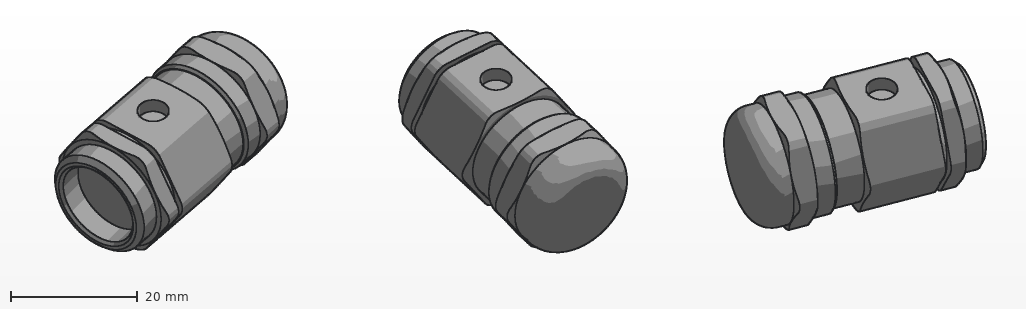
import cadquery as cq
import math

lock_nut_start = 4.02
lock_nut_end = 7.05
body_start = 7.95
body_end = 21.0
cap_start = 25.67
cap_hex_start = 29.2
cap_hex_end = 33.17
total_length = 38.65

thread_diameter = 18.0
thread_chamfer = 0.9
seal_diameter = 19.3
seal_rounding = 1.25
neck_diameter = 18.6
cap_diameter = 19.9
cap_chamfer = 0.5
dome_radius = 4.0

across_flats = 20.0
hex_corner_radius = 3.0
crown_diameter = 19.87
steep_crown = 0.58
shallow_crown = 0.35

bore_diameter = 14.0
bore_chamfer = 0.5
bore_depth = 4.25
side_hole_diameter = 5.0
side_hole_y = 14.55
side_hole_depth = 2.47

corner_reach = (across_flats / 2 - hex_corner_radius) / math.cos(math.radians(30)) + hex_corner_radius


def axial_plane(y):
    """Plane across the axis at station y, facing the cap."""
    return cq.Workplane(cq.Plane(origin=(0, y, 0), xDir=(1, 0, 0), normal=(0, 1, 0)))


def cylinder(diameter, start, end):
    return axial_plane(start).circle(diameter / 2).extrude(end - start)


def hexagon(start, end, front_crown=0, rear_crown=0):
    """Hexagon with rounded corners and optional conical crowns at its ends."""
    corner_radius = across_flats / 2 / math.cos(math.radians(30))
    corners = [
        (corner_radius * math.cos(math.radians(angle)), corner_radius * math.sin(math.radians(angle)))
        for angle in range(0, 360, 60)
    ]
    prism = axial_plane(start).polyline(corners).close().extrude(end - start)
    prism = prism.edges("|Y").fillet(hex_corner_radius)
    crown_radius = crown_diameter / 2
    side_clearance = 0.005
    side_radius = corner_reach + side_clearance
    profile = cq.Workplane("XY").moveTo(0, start)
    if front_crown:
        profile = profile.lineTo(crown_radius, start).lineTo(side_radius, start + front_crown)
    else:
        profile = profile.lineTo(side_radius, start)
    if rear_crown:
        profile = profile.lineTo(side_radius, end - rear_crown).lineTo(crown_radius, end)
    else:
        profile = profile.lineTo(side_radius, end)
    envelope = profile.lineTo(0, end).close().revolve(360, (0, 0, 0), (0, 1, 0))
    return prism.intersect(envelope)


thread = cylinder(thread_diameter, 0, body_start).faces("<Y").chamfer(thread_chamfer)
lock_nut = hexagon(lock_nut_start, lock_nut_end, front_crown=steep_crown)
seal_width = body_start - lock_nut_end
seal_drop = seal_rounding - math.sqrt(seal_rounding**2 - seal_width**2)
seal = (
    cq.Workplane("XY")
    .moveTo(0, lock_nut_end)
    .lineTo(seal_diameter / 2 - seal_drop, lock_nut_end)
    .radiusArc((seal_diameter / 2, body_start), -seal_rounding)
    .lineTo(0, body_start)
    .close()
    .revolve(360, (0, 0, 0), (0, 1, 0))
)

body = hexagon(body_start, body_end, rear_crown=shallow_crown)
neck = cylinder(neck_diameter, body_end, cap_start)

cap = cylinder(cap_diameter, cap_start, total_length)
cap = cap.faces("<Y").chamfer(cap_chamfer).faces(">Y").edges().fillet(dome_radius)
cap_hex = hexagon(cap_hex_start, cap_hex_end, shallow_crown, steep_crown)

result = thread
for section in (lock_nut, seal, body, neck, cap, cap_hex):
    result = result.union(section)

bore = cylinder(bore_diameter, 0, bore_depth)
bore_mouth = (
    axial_plane(0)
    .circle(bore_diameter / 2 + bore_chamfer)
    .extrude(bore_chamfer, taper=45)
)

side_hole = (
    cq.Workplane("XY", origin=(0, side_hole_y, across_flats / 2))
    .circle(side_hole_diameter / 2)
    .extrude(-side_hole_depth)
)

result = result.cut(bore).cut(bore_mouth).cut(side_hole)